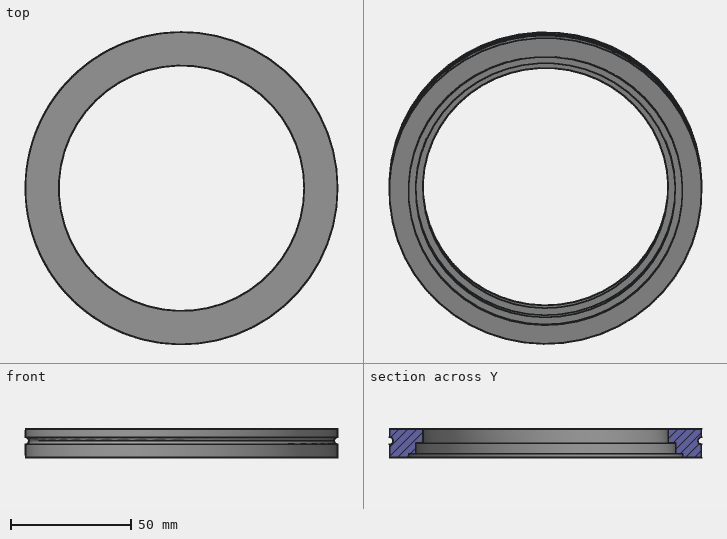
import cadquery as cq

outer_radius = 65.0
bore_radius = 51.0
height = 12.0

step_width = 3.0
counterbore_radius = bore_radius + step_width
counterbore_depth = height / 2
mouth_radius = counterbore_radius + step_width
mouth_depth = 1.6

groove_radius = 1.5
groove_height = 7.0


def ring_body():
    """Flat ring with a plain through bore."""
    return cq.Workplane("XY").circle(outer_radius).circle(bore_radius).extrude(height)


def bottom_recess(radius, depth):
    """Cylinder that widens the bore from the bottom face up to the given depth."""
    return cq.Workplane("XY").circle(radius).extrude(depth)


def outer_groove():
    """Torus whose inner half forms the half-round groove."""
    return (
        cq.Workplane("XZ")
        .center(-outer_radius, groove_height)
        .circle(groove_radius)
        .revolve(360, (outer_radius, 0), (outer_radius, 1))
    )


result = (
    ring_body()
    .cut(bottom_recess(counterbore_radius, counterbore_depth))
    .cut(bottom_recess(mouth_radius, mouth_depth))
    .cut(outer_groove())
)